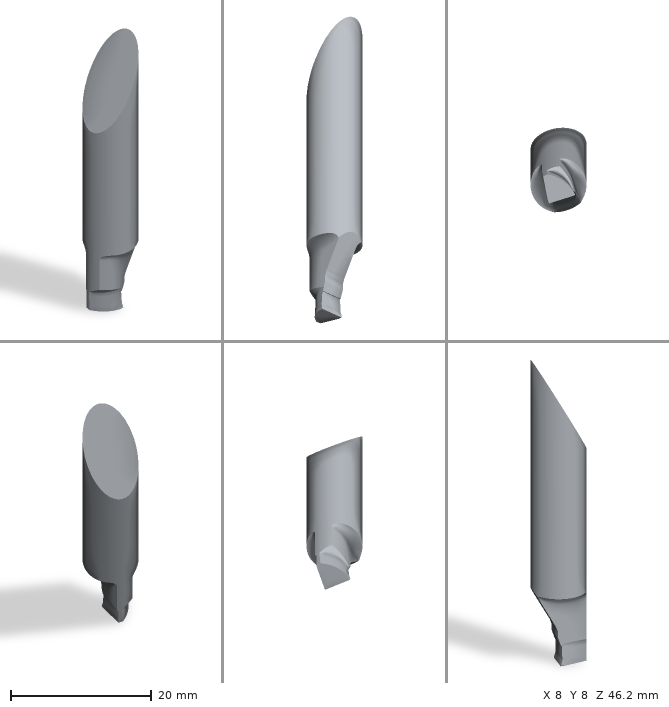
import cadquery as cq
import math

length = 46.2
diameter = 8.0
radius = diameter / 2
bevel_height = 13.85
reach = 2 * diameter
margin = 0.45

shoulder_z = 11.1
neck_left = -1.3
neck_right = 2.3
shoulder_fillet = 1.1
relief_edge_x = 1.315
relief_tangent_y = -0.45

back_slope = math.radians(30)
slope_top_z = 11.7
slope_bottom_y = 0.7
land_y = 0.4
land_top_z = 5.2
land_bottom_z = 4.35

joint_z = 3.0
joint_back_y = -0.05
flank_flare = 0.25
flank_front_x = -1.05
flank_front_y = -3.85
rake_y = -0.2
rake_bottom_z = 0.92
edge_y = 0.05
end_clearance = 0.393
corner_chamfer = 0.15

heel_x = -2.85
heel_y = 0.65
heel_radius = 5.15
cone_start_z = 3.55
cone_height = 1.2
cone_growth = 0.92
flank_runout_radius = 1.4


def bar():
    return cq.Workplane("XY").circle(radius).extrude(length)


def bevel_cutter():
    return (
        cq.Workplane("YZ")
        .moveTo(-radius, length - bevel_height)
        .lineTo(radius, length)
        .lineTo(radius, length + margin)
        .lineTo(-radius - margin, length + margin)
        .lineTo(-radius - margin, length - bevel_height)
        .close()
        .extrude(reach, both=True)
    )


def left_neck_cutter():
    block = cq.Workplane("XY").box(reach, 2 * reach, shoulder_z, centered=(True, True, False))
    return block.translate((neck_left - reach / 2, 0, 0)).edges(">X and >Z").fillet(shoulder_fillet)


def right_neck_cutter():
    """Region beyond the right side: a flat that turns tangentially into a round."""
    across = neck_right - relief_edge_x
    edge_y_on_bar = -math.sqrt(radius**2 - relief_edge_x**2)
    arc_radius = (across**2 + (edge_y_on_bar - relief_tangent_y) ** 2) / (2 * across)
    center_x = neck_right - arc_radius
    start_y = -radius - margin
    start_angle = math.asin((start_y - relief_tangent_y) / arc_radius)

    def arc_point(angle):
        return (center_x + arc_radius * math.cos(angle), relief_tangent_y + arc_radius * math.sin(angle))

    block = (
        cq.Workplane("XY")
        .moveTo(*arc_point(start_angle))
        .threePointArc(arc_point(start_angle / 2), arc_point(0))
        .lineTo(neck_right, reach)
        .lineTo(reach, reach)
        .lineTo(reach, start_y)
        .close()
        .extrude(shoulder_z)
    )
    inner_edge = cq.selectors.BoxSelector(
        (0, start_y - margin, shoulder_z - margin), (neck_right + margin, reach + margin, shoulder_z + margin)
    )
    return block.faces(">Z").edges(inner_edge).fillet(shoulder_fillet)


def back_cutter():
    """Region behind the sloped back of the neck."""
    slope_bottom_z = slope_top_z - (radius - slope_bottom_y) / math.tan(back_slope)
    return (
        cq.Workplane("YZ")
        .moveTo(radius, slope_top_z)
        .lineTo(slope_bottom_y, slope_bottom_z)
        .lineTo(land_y, land_top_z)
        .lineTo(land_y, land_bottom_z)
        .lineTo(joint_back_y, joint_z)
        .lineTo(reach, joint_z)
        .lineTo(reach, slope_top_z)
        .close()
        .extrude(reach, both=True)
    )


def heel_cutter():
    """Block with a cylindrical hollow that widens into a cone at the top."""
    cone_end_z = cone_start_z + cone_height
    cone_top_z = cone_end_z + cone_height
    cone_top_radius = heel_radius + 2 * cone_growth
    return (
        cq.Workplane("XZ")
        .moveTo(heel_radius, 0)
        .lineTo(heel_radius, cone_start_z)
        .lineTo(cone_top_radius, cone_top_z)
        .lineTo(reach, cone_top_z)
        .lineTo(reach, 0)
        .close()
        .revolve(360, (0, 0, 0), (0, 1, 0))
        .translate((heel_x, heel_y, 0))
    )


def flank_cutter():
    """Slightly turned block whose rounded top fades the left tip face into the neck."""
    top_z = joint_z + flank_runout_radius
    block = (
        cq.Workplane("XZ")
        .lineTo(0, joint_z)
        .radiusArc((-flank_runout_radius, top_z), -flank_runout_radius)
        .lineTo(-flank_runout_radius, 0)
        .close()
        .extrude(reach)
    )
    turn = math.degrees(math.atan2(flank_front_x - neck_left, -flank_front_y))
    return block.rotate((0, 0, 0), (0, 0, 1), turn).translate((neck_left, 0, 0))


def make_shank():
    shank = bar().cut(bevel_cutter()).cut(left_neck_cutter()).cut(right_neck_cutter())
    shank = shank.cut(back_cutter()).cut(heel_cutter()).cut(flank_cutter())
    below_joint = cq.Workplane("XY").box(reach, reach, joint_z, centered=(True, True, False))
    return shank.cut(below_joint)


def tip_section(section, flare):
    """Horizontal tip outline, widened by flare at the cutting edge."""
    center_x = heel_x + flare
    front_y = -radius - margin
    back_y = edge_y + margin

    def heel_point(y):
        return (center_x + math.sqrt(heel_radius**2 - (y - heel_y) ** 2), y)

    return (
        section.moveTo(neck_left - flare, back_y)
        .lineTo(neck_left - flare, 0)
        .lineTo(flank_front_x, flank_front_y)
        .lineTo(flank_front_x, front_y)
        .lineTo(*heel_point(front_y))
        .threePointArc(heel_point(front_y / 2), heel_point(back_y))
        .close()
    )


def tip_side_profile():
    """Side outline: concave rake face at the back and a sloped bottom."""
    return (
        cq.Workplane("YZ")
        .moveTo(-radius, joint_z)
        .lineTo(rake_y, joint_z)
        .lineTo(rake_y, rake_bottom_z)
        .lineTo(edge_y, 0)
        .lineTo(-radius, end_clearance)
        .close()
        .extrude(reach, both=True)
    )


def tip_corner_cutters():
    """Two wedges that bevel the lower left and lower right corners."""
    left = neck_left - flank_flare
    right = heel_x + flank_flare + math.sqrt(heel_radius**2 - heel_y**2)
    wedges = cq.Workplane("XZ")
    for corner_x, inward in ((left, 1), (right, -1)):
        wedges = (
            wedges.moveTo(corner_x - inward * margin, -margin)
            .lineTo(corner_x + inward * (corner_chamfer + margin), -margin)
            .lineTo(corner_x - inward * margin, corner_chamfer + margin)
            .close()
        )
    return wedges.extrude(reach, both=True)


def make_tip():
    lower = tip_section(cq.Workplane("XY"), flank_flare)
    tip = tip_section(lower.workplane(offset=joint_z), 0).loft(ruled=True)
    tip = tip.intersect(bar()).intersect(tip_side_profile())
    return tip.cut(tip_corner_cutters())


shank = make_shank()
tip = make_tip()
result = cq.Compound.makeCompound([shank.val(), tip.val()])